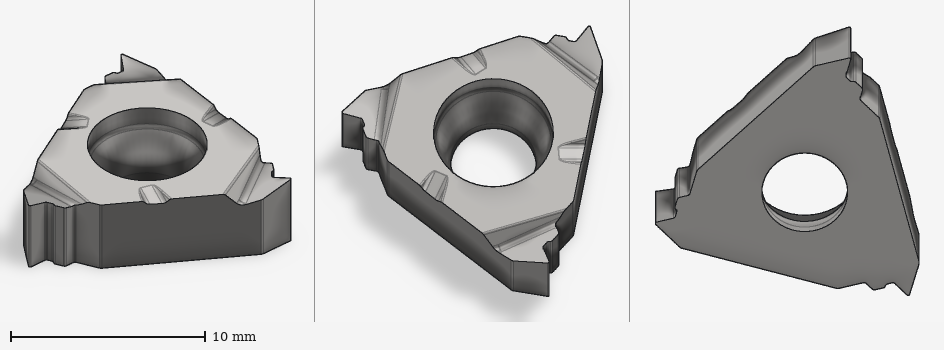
import cadquery as cq
import math

CORNERS = 3
THICKNESS = 4.1

SIDE_DISTANCE = 4.75
FLANK_DISTANCE = 6.76
INNER_FLANK_DISTANCE = 0.25
ROOT_Y = -6.03
CREST_Y = -6.2
REAR_Y = -5.66
ROOT_END_X = -2.8
CREST_START_X = -2.67
CREST_END_X = -2.08
REAR_START_X = -1.76
TIP_RADIUS = 0.08
FORM_RADIUS = 0.15
SHOULDER_RADIUS = 0.27

BORE_RADIUS = 2.2
COUNTERBORE_RADIUS = 3.08
SEAT_RADIUS = 3.58
SEAT_BLEND_RADIUS = 0.44
SEAT_BOTTOM_Z = 0.57

RAKE_ANGLE = 15.0
TIP_DROP = 0.12
WALL_ANGLE = 51.0
WALL_TURN = -32.0
WALL_EDGE_Y = -3.32
VALLEY_RADIUS = 0.38
GROOVE_DEPTH = 0.8

NOTCH_WIDTH = 0.88
NOTCH_DEPTH = 0.23
NOTCH_LENGTH = 1.27
NOTCH_TURN = 15.0
NOTCH_CENTRE_Y = 0.23
NOTCH_FLANK_ANGLE = 42.0
NOTCH_FLOOR_RADIUS = 0.34

TOP_EDGE_RADIUS = 0.15
CUTTER_SIZE = 8.21


def turned(point, angle):
    """Turn a 2D point about the hole axis by an angle in degrees."""
    c = math.cos(math.radians(angle))
    s = math.sin(math.radians(angle))
    return (point[0] * c - point[1] * s, point[0] * s + point[1] * c)


def toward(start, end, distance):
    """Point at a distance from start on the way to end."""
    share = distance / math.dist(start, end)
    return (start[0] + (end[0] - start[0]) * share, start[1] + (end[1] - start[1]) * share)


def lines_meet(angle_a, distance_a, angle_b, distance_b):
    """Meeting point of two lines given by normal direction and distance from the hole axis."""
    a, b = math.radians(angle_a), math.radians(angle_b)
    span = math.sin(b - a)
    x = (distance_a * math.sin(b) - distance_b * math.sin(a)) / span
    y = (distance_b * math.cos(a) - distance_a * math.cos(b)) / span
    return (x, y)


def corner_profile():
    """Corner points, each with its rounding radius, of one third of the outline."""
    side, flank, inner_flank, rear, next_side = 180, 210, -30, -90, -60
    return [
        (lines_meet(side, SIDE_DISTANCE, flank, FLANK_DISTANCE), SHOULDER_RADIUS),
        (lines_meet(flank, FLANK_DISTANCE, inner_flank, INNER_FLANK_DISTANCE), TIP_RADIUS),
        (lines_meet(inner_flank, INNER_FLANK_DISTANCE, rear, -ROOT_Y), FORM_RADIUS),
        ((ROOT_END_X, ROOT_Y), FORM_RADIUS),
        ((CREST_START_X, CREST_Y), FORM_RADIUS),
        ((CREST_END_X, CREST_Y), FORM_RADIUS),
        ((REAR_START_X, REAR_Y), FORM_RADIUS),
        (lines_meet(rear, -REAR_Y, next_side, SIDE_DISTANCE), SHOULDER_RADIUS),
    ]


def rounded_outline(corners):
    """Closed outline through the corners, each rounded by a tangent arc."""
    outline = None
    for i, (corner, radius) in enumerate(corners):
        before = corners[i - 1][0]
        after = corners[(i + 1) % len(corners)][0]
        heading_in = math.atan2(corner[1] - before[1], corner[0] - before[0])
        heading_out = math.atan2(after[1] - corner[1], after[0] - corner[0])
        half_turn = abs(math.remainder(heading_out - heading_in, math.tau)) / 2
        tangent = radius * math.tan(half_turn)
        start = toward(corner, before, tangent)
        end = toward(corner, after, tangent)
        chord_middle = ((start[0] + end[0]) / 2, (start[1] + end[1]) / 2)
        middle = toward(corner, chord_middle, radius / math.cos(half_turn) - radius)
        outline = outline.lineTo(*start) if outline else cq.Workplane("XY").moveTo(*start)
        outline = outline.threePointArc(middle, end)
    return outline.close()


def body():
    corners = []
    for i in range(CORNERS):
        angle = i * 360 / CORNERS
        corners += [(turned(point, angle), radius) for point, radius in corner_profile()]
    return rounded_outline(corners).extrude(THICKNESS)


def hole():
    """Bore, trumpet-shaped screw seat and counterbore as one turned cutter."""
    seat_x = BORE_RADIUS + SEAT_RADIUS
    blend_x = COUNTERBORE_RADIUS - SEAT_BLEND_RADIUS
    reach = SEAT_RADIUS + SEAT_BLEND_RADIUS
    lean = math.acos((seat_x - blend_x) / reach)
    blend_z = SEAT_BOTTOM_Z + reach * math.sin(lean)

    def on_seat(angle):
        return (seat_x - SEAT_RADIUS * math.cos(angle), SEAT_BOTTOM_Z + SEAT_RADIUS * math.sin(angle))

    def on_blend(angle):
        return (blend_x + SEAT_BLEND_RADIUS * math.cos(angle), blend_z - SEAT_BLEND_RADIUS * math.sin(angle))

    return (
        cq.Workplane("XZ")
        .lineTo(BORE_RADIUS, 0)
        .lineTo(BORE_RADIUS, SEAT_BOTTOM_Z)
        .threePointArc(on_seat(lean / 2), on_seat(lean))
        .threePointArc(on_blend(lean / 2), on_blend(0))
        .lineTo(COUNTERBORE_RADIUS, THICKNESS)
        .lineTo(0, THICKNESS)
        .close()
        .revolve(360, (0, 0, 0), (0, 1, 0))
    )


def parallel_to(direction):
    return cq.selectors.ParallelDirSelector(direction)


def block_on(plane):
    """Large block standing on a plane."""
    return cq.Workplane(plane).rect(2 * CUTTER_SIZE, 2 * CUTTER_SIZE).extrude(CUTTER_SIZE)


def rake_plane():
    tip_y = TIP_RADIUS - FLANK_DISTANCE - INNER_FLANK_DISTANCE
    rake = math.radians(RAKE_ANGLE)
    return cq.Plane(
        origin=(0, tip_y, THICKNESS - TIP_DROP),
        xDir=(1, 0, 0),
        normal=(0, math.sin(rake), math.cos(rake)),
    )


def wall_plane():
    wall = math.radians(WALL_ANGLE)
    outward = turned((0, -1), WALL_TURN)
    return cq.Plane(
        origin=(-SIDE_DISTANCE, WALL_EDGE_Y, THICKNESS),
        xDir=(*turned((1, 0), WALL_TURN), 0),
        normal=(outward[0] * math.sin(wall), outward[1] * math.sin(wall), math.cos(wall)),
    )


def notch_plane():
    """Plane across the notch at the long side; its normal runs along the rising floor."""
    slope = math.atan(NOTCH_DEPTH / NOTCH_LENGTH)
    inward = turned((1, 0), NOTCH_TURN)
    return cq.Plane(
        origin=(-SIDE_DISTANCE, NOTCH_CENTRE_Y, THICKNESS - NOTCH_DEPTH),
        xDir=(*turned((0, 1), NOTCH_TURN), 0),
        normal=(inward[0] * math.cos(slope), inward[1] * math.cos(slope), math.sin(slope)),
    )


def chip_groove():
    """Cutter above the rake face, the wall and the level floor, with rounded valleys."""
    rake = rake_plane()
    wall = wall_plane()
    floor = cq.Plane(origin=(0, 0, THICKNESS - GROOVE_DEPTH))
    groove = block_on(rake).intersect(block_on(wall)).intersect(block_on(floor))
    valley = groove.edges(parallel_to(rake.zDir.cross(wall.zDir)))
    floor_edges = groove.faces("<Z").edges(parallel_to(rake.xDir) + parallel_to(wall.xDir))
    return valley.add(floor_edges).fillet(VALLEY_RADIUS)


def notch():
    """Cutter with a trapezoid section that follows the rising floor of the notch."""
    plane = notch_plane()
    height = 2 * NOTCH_DEPTH
    half_floor = NOTCH_WIDTH / 2
    half_top = half_floor + height / math.tan(math.radians(NOTCH_FLANK_ANGLE))
    trapezoid = [(-half_floor, 0), (half_floor, 0), (half_top, height), (-half_top, height)]
    cutter = cq.Workplane(plane).polyline(trapezoid).close().extrude(2 * NOTCH_LENGTH, both=True)
    floor = cutter.faces(cq.selectors.DirectionMinMaxSelector(plane.yDir, False))
    return floor.edges(parallel_to(plane.zDir)).fillet(NOTCH_FLOOR_RADIUS)


def notch_rim_directions():
    """Directions in which the two notch flanks meet the top face."""
    plane = notch_plane()
    flank = math.radians(NOTCH_FLANK_ANGLE)
    across = plane.xDir * math.sin(flank)
    up = plane.yDir * math.cos(flank)
    top_normal = cq.Vector(0, 0, 1)
    return [(up + across).cross(top_normal), (up - across).cross(top_normal)]


def cut_corner(part):
    """Cut the groove and notch of the corner toward -Y and round their top edges."""
    part = part.cut(chip_groove()).cut(notch())
    first_rim, second_rim = notch_rim_directions()
    top_edges = parallel_to(wall_plane().xDir) + parallel_to(first_rim) + parallel_to(second_rim)
    return part.faces(">Z").edges(top_edges).fillet(TOP_EDGE_RADIUS)


result = body().cut(hole())
for _ in range(CORNERS):
    result = cut_corner(result).rotate((0, 0, 0), (0, 0, 1), 360 / CORNERS)